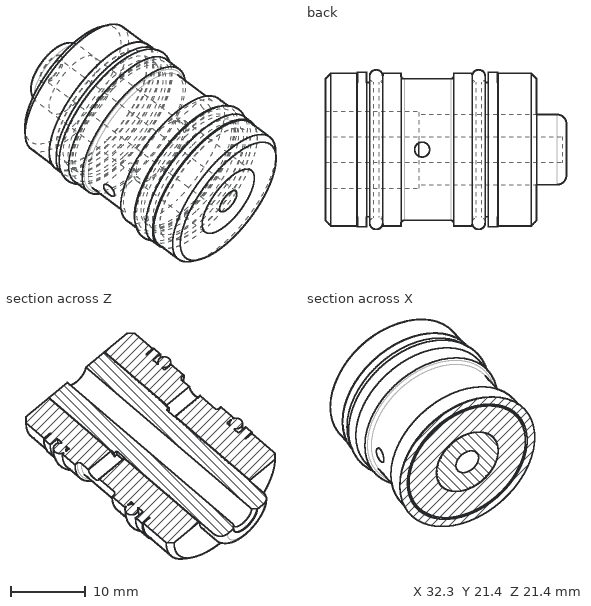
import cadquery as cq
overall_length = 32.3
housing_start = 4.0
seal_centre = 18.65

housing_radius = 10.25
end_chamfer = 0.75
groove_floor_radius = 9.0
groove_inner_offset = 5.98
groove_outer_offset = 9.47
waist_radius = 9.5
waist_half_width = 3.52
waist_fillet = 0.4
port_radius = 1.0
port_position = 19.35

o_ring_section_diameter = 1.78
o_ring_section_radius = o_ring_section_diameter / 2
o_ring_centre_radius = 9.82
o_ring_offset = groove_inner_offset + o_ring_section_radius
backup_ring_radius = 10.37
backup_ring_width = 1.25
backup_ring_clearance = 0.05
backup_ring_offset = groove_outer_offset - backup_ring_clearance - backup_ring_width

rod_radius = 4.72
rod_tip_fillet = 1.3
head_start = 19.85
head_radius = 5.17
passage_radius = 1.7
inlet_radius = 2.2
inlet_depth = 0.1
inlet_cone_length = inlet_radius - passage_radius


def cylinder(start, end, radius):
    """Solid cylinder on the X axis between two X positions."""
    return cq.Workplane("YZ", origin=(start, 0, 0)).circle(radius).extrude(end - start)


def tube(start, end, inner_radius, outer_radius):
    """Hollow cylinder on the X axis between two X positions."""
    return cylinder(start, end, outer_radius).cut(cylinder(start, end, inner_radius))


def mirrored_span(side, inner_offset, outer_offset):
    """Ordered X limits of a band on one side (-1 or +1) of the seal centre."""
    return sorted((seal_centre + side * inner_offset, seal_centre + side * outer_offset))


def make_waist_cutter():
    """Ring that cuts the waist, with its inner corners rounded."""
    start, end = mirrored_span(1, -waist_half_width, waist_half_width)
    core = cylinder(start, end, waist_radius)
    flare_radius = waist_radius + waist_fillet
    for side in (-1, 1):
        wall = seal_centre + side * waist_half_width
        flare = (
            cq.Workplane("XY")
            .moveTo(wall, waist_radius)
            .lineTo(wall, flare_radius)
            .radiusArc((wall - side * waist_fillet, waist_radius), side * waist_fillet)
            .close()
            .revolve(360, (0, 0, 0), (1, 0, 0))
        )
        core = core.union(flare)
    return cylinder(start, end, housing_radius).cut(core)


def make_o_ring(side):
    """O-ring resting against the inner wall of its groove."""
    centre = seal_centre + side * o_ring_offset
    return (
        cq.Workplane("XY")
        .center(centre, o_ring_centre_radius)
        .circle(o_ring_section_radius)
        .revolve(360, (0, -o_ring_centre_radius, 0), (1, -o_ring_centre_radius, 0))
    )


def make_backup_ring(side):
    """Square-edged ring beside the O-ring, near the outer wall of the groove."""
    start, end = mirrored_span(side, backup_ring_offset, backup_ring_offset + backup_ring_width)
    return tube(start, end, groove_floor_radius, backup_ring_radius)


def make_housing():
    """Chamfered sleeve with its seals, a cross port and a stepped bore for the piston."""
    housing = cylinder(housing_start, overall_length, housing_radius).edges().chamfer(end_chamfer)
    housing = housing.cut(make_waist_cutter())
    for side in (-1, 1):
        start, end = mirrored_span(side, groove_inner_offset, groove_outer_offset)
        housing = housing.cut(tube(start, end, groove_floor_radius, housing_radius))
        housing = housing.union(make_o_ring(side)).union(make_backup_ring(side))
    port = (
        cq.Workplane("XZ", origin=(port_position, 0, 0))
        .circle(port_radius)
        .extrude(housing_radius, both=True)
    )
    rod_bore = cylinder(housing_start, head_start, rod_radius)
    head_bore = cylinder(head_start, overall_length, head_radius)
    return housing.cut(port).cut(rod_bore).cut(head_bore)


def make_piston():
    """Stepped piston with a rounded tip and a through passage."""
    rod = cylinder(0, head_start, rod_radius).faces("<X").edges().fillet(rod_tip_fillet)
    head = cylinder(head_start, overall_length, head_radius)
    cone_end = inlet_depth + inlet_cone_length
    passage = (
        cq.Workplane("XY")
        .moveTo(0, 0)
        .lineTo(0, inlet_radius)
        .lineTo(inlet_depth, inlet_radius)
        .lineTo(cone_end, passage_radius)
        .lineTo(overall_length, passage_radius)
        .lineTo(overall_length, 0)
        .close()
        .revolve(360, (0, 0, 0), (1, 0, 0))
    )
    return rod.union(head).cut(passage)


housing = make_housing()
piston = make_piston()

result = cq.Compound.makeCompound([housing.solids().val(), piston.solids().val()])